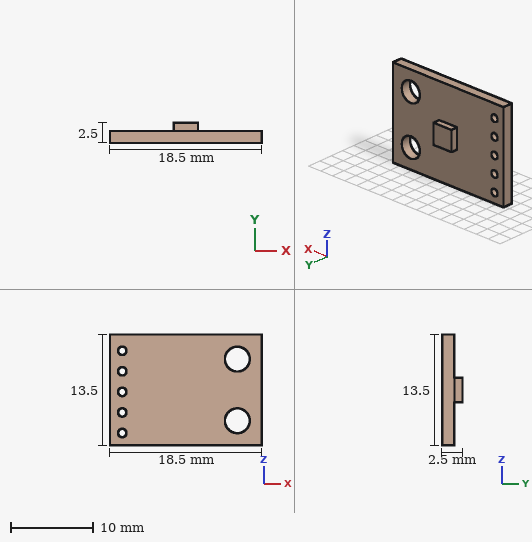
import cadquery as cq

board_length = 18.5
board_height = 13.5
board_thickness = 1.5

chip_side = 3.0
chip_thickness = 1.0

mount_count = 2
mount_diameter = 3.0
mount_pitch = 7.5
mount_edge_distance = 3.0

pin_count = 5
pin_diameter = 1.0
pin_pitch = 2.5
pin_edge_distance = 1.52
pin_column_drop = 0.24


def standing_block(length, height, thickness, front_y):
    """Box centred in X and Z that reaches from front_y towards +Y."""
    block = cq.Workplane("XY").box(length, thickness, height, centered=(True, False, True))
    return block.translate((0, front_y, 0))


def hole_column(diameter, x, middle_z, pitch, count):
    """Cylinders along Y through the board, evenly spaced in Z about middle_z."""
    lowest_z = middle_z - pitch * (count - 1) / 2
    centres = [(x, lowest_z + i * pitch) for i in range(count)]
    return cq.Workplane("XZ").pushPoints(centres).circle(diameter / 2).extrude(-board_thickness)


def make_board():
    mount_x = board_length / 2 - mount_edge_distance
    pin_x = -board_length / 2 + pin_edge_distance
    plate = standing_block(board_length, board_height, board_thickness, 0)
    mount_holes = hole_column(mount_diameter, mount_x, 0, mount_pitch, mount_count)
    pin_holes = hole_column(pin_diameter, pin_x, -pin_column_drop, pin_pitch, pin_count)
    return plate.cut(mount_holes).cut(pin_holes)


def make_chip():
    return standing_block(chip_side, chip_side, chip_thickness, board_thickness)


board = make_board()
chip = make_chip()

result = cq.Compound.makeCompound([board.val(), chip.val()])